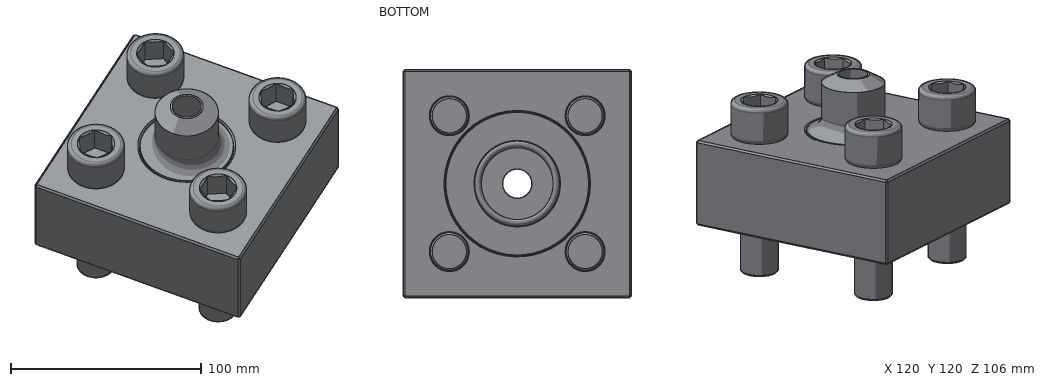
import cadquery as cq
import math

block_side = 120.0
block_height = 47.0
block_chamfer = 1.0
neck_hole_diameter = 49.5
neck_hole_chamfer = 1.0
collar_pocket_diameter = 77.0

pipe_diameter = 33.4
bore_diameter = 15.22
neck_diameter = 49.0
collar_diameter = 76.0
collar_chamfer = 0.5
collar_thickness = 20.0
collar_projection = 2.0
nipple_projection = 31.0
nipple_top = block_height + nipple_projection
bevel_angle = 30.0
bevel_land = 1.0
neck_fillet_radius = (neck_diameter - pipe_diameter) / 2

ring_inner_diameter = 37.69
ring_section_diameter = 3.53
groove_outer_diameter = 45.46
groove_depth = 2.5

screw_count = 4
screw_circle_diameter = 101.0
screw_spacing = screw_circle_diameter / math.sqrt(2)
screw_diameter = 20.0
screw_hole_diameter = 21.0
screw_projection = 28.0
screw_tip_chamfer = 1.0
head_diameter = 30.0
head_height = 20.0
head_edge_fillet = 2.0
hex_across_flats = 17.0
hex_across_corners = hex_across_flats / math.cos(math.radians(30))
hex_depth = 14.0
hex_countersink_angle = 30.0

collar_bottom = -collar_projection
collar_top = collar_bottom + collar_thickness


def make_block():
    """Chamfered block with a stepped central hole and four screw holes."""
    block = cq.Workplane("XY").box(block_side, block_side, block_height, centered=(True, True, False))
    block = block.edges().chamfer(block_chamfer)
    block = block.cut(cq.Workplane("XY").circle(neck_hole_diameter / 2).extrude(block_height))
    block = block.faces(">Z").edges("%CIRCLE").chamfer(neck_hole_chamfer)
    block = block.cut(cq.Workplane("XY").circle(collar_pocket_diameter / 2).extrude(collar_top))
    screw_holes = (
        cq.Workplane("XY")
        .rect(screw_spacing, screw_spacing, forConstruction=True)
        .vertices()
        .circle(screw_hole_diameter / 2)
        .extrude(block_height)
    )
    return block.cut(screw_holes)


def make_nipple():
    """Revolved nipple with a face groove under the collar."""
    bore_radius = bore_diameter / 2
    pipe_radius = pipe_diameter / 2
    neck_radius = neck_diameter / 2
    collar_radius = collar_diameter / 2
    land_radius = bore_radius + bevel_land
    bevel_height = (pipe_radius - land_radius) * math.tan(math.radians(bevel_angle))
    fillet_top = block_height + neck_fillet_radius
    diagonal = neck_fillet_radius * math.sqrt(0.5)
    profile = (
        cq.Workplane("XZ")
        .moveTo(bore_radius, collar_bottom)
        .lineTo(collar_radius - collar_chamfer, collar_bottom)
        .lineTo(collar_radius, collar_bottom + collar_chamfer)
        .lineTo(collar_radius, collar_top)
        .lineTo(neck_radius, collar_top)
        .lineTo(neck_radius, block_height)
        .threePointArc(
            (neck_radius - diagonal, fillet_top - diagonal),
            (pipe_radius, fillet_top),
        )
        .lineTo(pipe_radius, nipple_top - bevel_height)
        .lineTo(land_radius, nipple_top)
        .lineTo(bore_radius, nipple_top)
        .close()
    )
    nipple = profile.revolve(360, (0, 0, 0), (0, 1, 0))
    groove = (
        cq.Workplane("XY")
        .workplane(offset=collar_bottom)
        .circle(groove_outer_diameter / 2)
        .circle(ring_inner_diameter / 2)
        .extrude(groove_depth)
    )
    return nipple.cut(groove)


def make_seal_ring():
    """O-ring resting on the groove floor and standing out below the collar."""
    section_radius = ring_section_diameter / 2
    centre_radius = ring_inner_diameter / 2 + section_radius
    centre_height = collar_bottom + groove_depth - section_radius
    section = cq.Workplane("XZ").center(centre_radius, centre_height).circle(section_radius)
    return section.revolve(360, (-centre_radius, 0, 0), (-centre_radius, 1, 0))


def make_screw():
    """Socket head screw on the Z axis, its head seated on top of the block."""
    shank_length = block_height + screw_projection
    shank = cq.Workplane("XY").workplane(offset=-screw_projection).circle(screw_diameter / 2)
    shank = shank.extrude(shank_length).faces("<Z").chamfer(screw_tip_chamfer)
    head = cq.Workplane("XY").workplane(offset=block_height).circle(head_diameter / 2)
    head = head.extrude(head_height).edges().fillet(head_edge_fillet)
    screw = shank.union(head)

    head_top = block_height + head_height
    socket = cq.Workplane("XY").workplane(offset=head_top - hex_depth)
    socket = socket.polygon(6, hex_across_corners).extrude(hex_depth)
    corner_radius = hex_across_corners / 2
    countersink_depth = corner_radius * math.tan(math.radians(hex_countersink_angle))
    countersink = cq.Workplane(
        cq.Solid.makeCone(
            corner_radius, 0, countersink_depth, pnt=cq.Vector(0, 0, head_top), dir=cq.Vector(0, 0, -1)
        )
    )
    return screw.cut(socket).cut(countersink)


def place_screws():
    """Copies of the screw turned about the block axis, each a separate solid."""
    first = make_screw().translate((screw_spacing / 2, screw_spacing / 2, 0))
    step = 360 / screw_count
    return [first.rotate((0, 0, 0), (0, 0, 1), i * step) for i in range(screw_count)]


block = make_block()
nipple = make_nipple()
seal_ring = make_seal_ring()
screws = place_screws()

result = cq.Compound.makeCompound(
    [block.val(), nipple.val(), seal_ring.val(), *[screw.val() for screw in screws]]
)